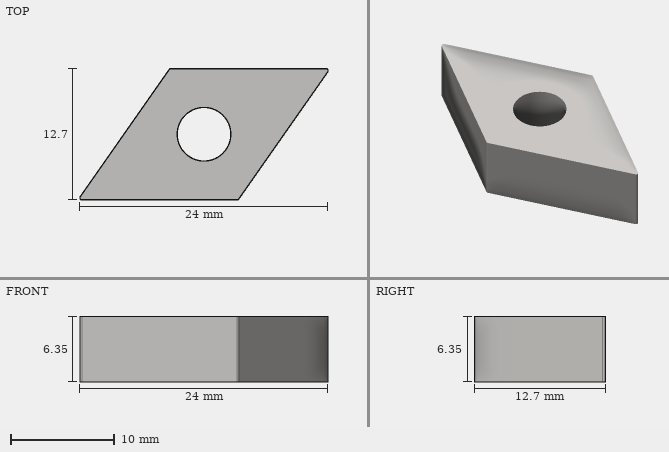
import cadquery as cq
import math

length = 24.03
width = 12.7
thickness = 6.35
hole_diameter = 5.17
acute_angle = math.radians(55)

side = width / math.sin(acute_angle)
lean = side * math.cos(acute_angle)
sharp_length = side + lean

trim_per_radius = 1 / math.tan(acute_angle / 2) - 1
corner_radius = (sharp_length - length) / 2 / trim_per_radius

corners = [
    (-sharp_length / 2, -width / 2),
    (sharp_length / 2 - lean, -width / 2),
    (sharp_length / 2, width / 2),
    (-sharp_length / 2 + lean, width / 2),
]

body = cq.Workplane("XY").polyline(corners).close().extrude(thickness)
body = body.edges("|Z").fillet(corner_radius)

result = body.faces(">Z").workplane(origin=(0, 0, thickness)).hole(hole_diameter)